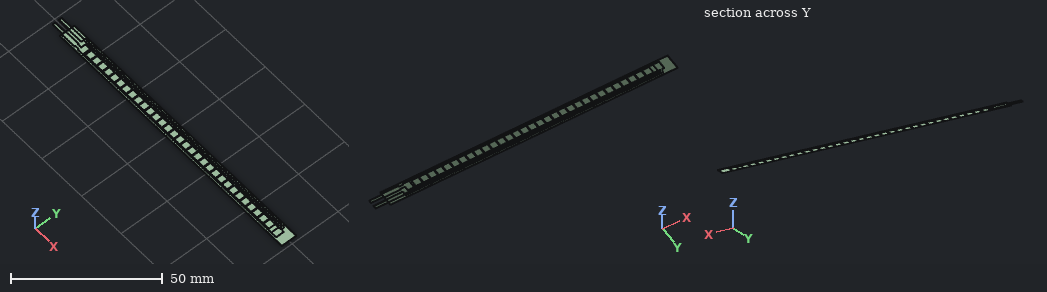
import cadquery as cq

LENGTH = 117.2
WIDTH = 6.3
HEIGHT = 0.4

BASE_TOP = 0.1
CONDUCTOR_TOP = 0.2
PLATE_TOP = 0.29

LEAD_LENGTH = 5.0

LEAD_INNER = 0.88
LEAD_OUTER = 2.0
LEDGE_WIDTH = 0.2
PAD_END = 11.5
PAD_INNER = 0.6
LOWER_PAD_OUTER = 2.3

TRACE_OUTER = 2.3
TRACE_WIDTH = 0.7
TRACE_END = 112.1
LINK_WIDTH = 0.7
LINK_SHIFT = 0.5

PANEL_START = 13.2
PANEL_END = 113.4
PANEL_BACK = 0.9
PANEL_FRONT = -2.3
PLATE_START = 15.7
PLATE_END = 110.9

CELL_COUNT = 31
CELL_GAP = 0.32
CELLS_START = 16.4
CELLS_END = 109.3
CELL_FRONT_MARGIN = 0.4
CELL_BACK_MARGIN = 0.09


def block(x_min, x_max, y_min, y_max, z_min, z_max):
    """Axis-aligned box given by its limits."""
    size = (x_max - x_min, y_max - y_min, z_max - z_min)
    return cq.Workplane("XY").box(*size, centered=False).translate((x_min, y_min, z_min))


def base_film():
    return block(LEAD_LENGTH, LENGTH, -WIDTH / 2, WIDTH / 2, 0, BASE_TOP)


def upper_lead():
    """Lead on the +Y side, with a narrow ledge along its inner edge outside the film."""
    lead = block(0, PAD_END, LEAD_INNER, LEAD_OUTER, BASE_TOP, CONDUCTOR_TOP)
    ledge_top = (BASE_TOP + CONDUCTOR_TOP) / 2
    ledge = block(0, LEAD_LENGTH, LEAD_INNER - LEDGE_WIDTH, LEAD_INNER, BASE_TOP, ledge_top)
    pad = block(LEAD_LENGTH, PAD_END, PAD_INNER, LEAD_OUTER, BASE_TOP, CONDUCTOR_TOP)
    return lead.union(ledge).union(pad)


def lower_lead():
    """Lead on the -Y side: it widens into a pad, then necks down to reach the panel."""
    lead = block(0, PANEL_START, -LEAD_OUTER, -LEAD_INNER, BASE_TOP, CONDUCTOR_TOP)
    pad = block(LEAD_LENGTH, PAD_END, -LOWER_PAD_OUTER, -PAD_INNER, BASE_TOP, CONDUCTOR_TOP)
    return lead.union(pad)


def return_trace():
    """Straight trace from the upper pad, with a slanted link to the panel at its +X end."""
    trace_inner = TRACE_OUTER - TRACE_WIDTH
    trace = block(PAD_END, TRACE_END, trace_inner, TRACE_OUTER, BASE_TOP, CONDUCTOR_TOP)
    link = (
        cq.Workplane("XY", origin=(0, 0, BASE_TOP))
        .polyline([
            (TRACE_END - LINK_WIDTH, trace_inner),
            (TRACE_END, trace_inner),
            (TRACE_END + LINK_SHIFT, PANEL_BACK),
            (TRACE_END + LINK_SHIFT - LINK_WIDTH, PANEL_BACK),
        ])
        .close()
        .extrude(CONDUCTOR_TOP - BASE_TOP)
    )
    return trace.union(link)


def sensing_panel():
    panel = block(PANEL_START, PANEL_END, PANEL_FRONT, PANEL_BACK, BASE_TOP, CONDUCTOR_TOP)
    plate = block(PLATE_START, PLATE_END, PANEL_FRONT, PANEL_BACK, CONDUCTOR_TOP, PLATE_TOP)
    return panel.union(plate)


def cell_row():
    pitch = (CELLS_END - CELLS_START + CELL_GAP) / CELL_COUNT
    y_min = PANEL_FRONT + CELL_FRONT_MARGIN
    y_max = PANEL_BACK - CELL_BACK_MARGIN
    cells = cq.Workplane("XY")
    for index in range(CELL_COUNT):
        start = CELLS_START + index * pitch
        cells.add(block(start, start + pitch - CELL_GAP, y_min, y_max, PLATE_TOP, HEIGHT))
    return cells.combine()


result = base_film()
for feature in (upper_lead(), lower_lead(), return_trace(), sensing_panel(), cell_row()):
    result = result.union(feature)